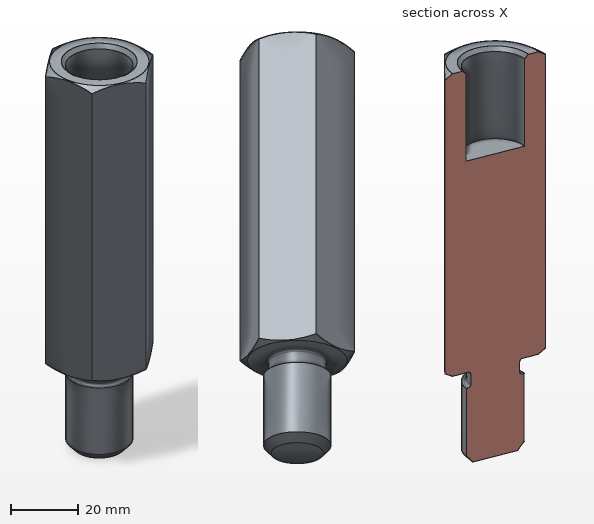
import cadquery as cq
import math

across_flats = 30.0
body_length = 100.0
across_corners = across_flats / math.cos(math.radians(30))
end_face_diameter = 29.5
end_bevel_angle = 30.0

stud_diameter = 20.0
stud_length = 30.0
tip_diameter = 15.4
tip_chamfer_height = 2.5

undercut_diameter = 17.0
undercut_length = 5.0
undercut_fillet = 0.8

bore_diameter = 20.0
bore_depth = stud_length
bore_mouth_diameter = 22.5
bore_chamfer_height = (bore_mouth_diameter - bore_diameter) / 2


def make_body():
    """Hexagonal prism with corners on the Y axis, bevelled conically at both ends."""
    prism = (
        cq.Workplane("XY")
        .polygon(6, across_corners)
        .extrude(body_length)
        .rotate((0, 0, 0), (0, 0, 1), 30)
    )
    corner_radius = across_corners / 2
    end_radius = end_face_diameter / 2
    bevel_height = (corner_radius - end_radius) * math.tan(math.radians(end_bevel_angle))
    envelope = (
        cq.Workplane("XZ")
        .moveTo(0, 0)
        .lineTo(end_radius, 0)
        .lineTo(corner_radius, bevel_height)
        .lineTo(corner_radius, body_length - bevel_height)
        .lineTo(end_radius, body_length)
        .lineTo(0, body_length)
        .close()
        .revolve(360, (0, 0, 0), (0, 1, 0))
    )
    return prism.intersect(envelope)


def make_stud():
    """Round stud with a filleted undercut at its root and a chamfered tip."""
    stud_radius = stud_diameter / 2
    neck_radius = undercut_diameter / 2
    flare_radius = neck_radius + undercut_fillet
    return (
        cq.Workplane("XZ")
        .moveTo(0, 0)
        .lineTo(flare_radius, 0)
        .radiusArc((neck_radius, -undercut_fillet), -undercut_fillet)
        .lineTo(neck_radius, undercut_fillet - undercut_length)
        .radiusArc((flare_radius, -undercut_length), -undercut_fillet)
        .lineTo(stud_radius, -undercut_length)
        .lineTo(stud_radius, tip_chamfer_height - stud_length)
        .lineTo(tip_diameter / 2, -stud_length)
        .lineTo(0, -stud_length)
        .close()
        .revolve(360, (0, 0, 0), (0, 1, 0))
    )


def make_bore():
    """Flat-bottomed bore with a chamfered mouth, as a cutting tool."""
    bore_radius = bore_diameter / 2
    return (
        cq.Workplane("XZ")
        .moveTo(0, body_length)
        .lineTo(bore_mouth_diameter / 2, body_length)
        .lineTo(bore_radius, body_length - bore_chamfer_height)
        .lineTo(bore_radius, body_length - bore_depth)
        .lineTo(0, body_length - bore_depth)
        .close()
        .revolve(360, (0, 0, 0), (0, 1, 0))
    )


result = make_body().union(make_stud()).cut(make_bore())